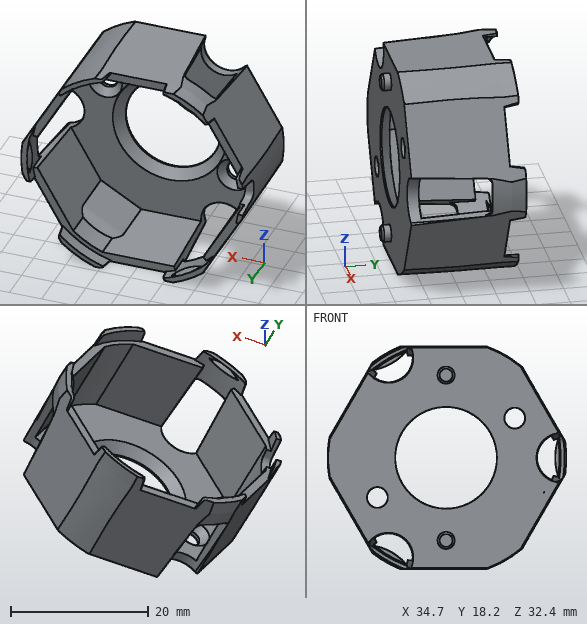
import cadquery as cq
import math

PLATE = 1.7
RIM = 14.65
TOP = 16.88
PIN_HEIGHT = 1.35

BASE_APOTHEM = 16.0
BEVEL_APOTHEM = 16.08
BEVEL_HEIGHT = 0.25
RIM_APOTHEM = 16.2
WALL = 1.32

CLOSED_BASE_RADIUS = 17.12
CLOSED_MID_RADIUS = 17.23
CLOSED_RIM_RADIUS = 17.2
CLOSED_TOP_RADIUS = 17.23
WINDOW_LOW_RADIUS = 17.23
WINDOW_RIM_RADIUS = 17.5
WINDOW_TOP_RADIUS = 17.35
WINDOW_CORNERS = (0, 120, 240)
CLOSED_CORNERS = (60, 180, 300)
CORNER_ANGLE = 60

CAVITY_APOTHEM = RIM_APOTHEM - WALL
CAVITY_RADIUS = 15.87
PAD_CORNER = 300
PAD_RADIUS = 15.07
PAD_STRAIGHT = 8.9
PAD_CURVE = 2.85
PAD_HALF_WIDTH = 3.82
PAD_BACK = 16.32

WINDOW_CENTRE = 16.75
WINDOW_BASE_RADIUS = 3.58
WINDOW_ENTRY = 0.05
WINDOW_HEAD_RADIUS = 2.95
WINDOW_HEAD = 11.9
WINDOW_FILLET = 1.0
FLARE_LOW_START = 15.87
FLARE_LOW_HALF_WIDTH = 3.45
FLARE_HIGH_START = 16.88
FLARE_HIGH_HALF_WIDTH = 3.02
FLARE_TOP = 10.42
FLARE_LENGTH = 1.75
RECESS_LOW_RADIUS = 16.75
RECESS_TOP_RADIUS = 16.45

TAB_HALF_WIDTH = 4.27
TAB_TAPER = 10
TAB_FILLET = 0.35
NOTCH_CORNER = 180
NOTCH_BOTTOM = 12.65
NOTCH_RIM_HALF_WIDTH = 1.88
NOTCH_FILLET = 1.05
HOOK_HEIGHT = 16.3
HOOK_TIP = 15.85
HOOK_CURVE = 8.35

CLEARANCE = 0.35

BORE_DIAMETER = 14.75
BORE_STRAIGHT = 0.25
HOLE_DIAMETER = 3.0
HOLE_STRAIGHT = 0.6
HOLE_DISTANCE = 11.53
HOLE_ANGLE = 30
PIN_DIAMETER = 2.5
PIN_DISTANCE = 12.0
PIN_CHAMFER = 0.3


def turned(shape, angle):
    """Turn a shape about the housing axis, from +X towards +Z."""
    return shape.rotate((0, 0, 0), (0, 1, 0), -angle)


def revolved(profile, angle=360):
    return profile.revolve(angle, (0, 0, 0), (0, 1, 0))


def plane_at(height):
    """Plane across the axis, with local x = X and local y = Z."""
    return cq.Workplane("XZ", origin=(0, height, 0))


def across_points(apothem):
    return 2 * apothem / math.cos(math.radians(CORNER_ANGLE / 2))


def hexagon(height, apothem):
    return plane_at(height).polygon(6, across_points(apothem))


def hexagon_taper(low, low_apothem, high, high_apothem):
    return (
        hexagon(low, low_apothem)
        .workplane(offset=low - high)
        .polygon(6, across_points(high_apothem))
        .loft(ruled=True)
    )


def cone(low, low_radius, high, high_radius, centre=0):
    """Cone frustum along Y around an axis at X = centre."""
    frustum = revolved(
        cq.Workplane("XY").polyline([(0, low), (low_radius, low), (high_radius, high), (0, high)]).close()
    )
    return frustum.translate((centre, 0, 0))


def across_corner(profile, start, end):
    """Extrude a profile drawn on a (Z, Y) plane from X = start to X = end."""
    return profile.extrude(end - start).translate((start, 0, 0))


def side_plane():
    """Plane along the axis and across X, with local x = -Z and local y = Y."""
    return cq.Workplane(cq.Plane(origin=(0, 0, 0), xDir=(0, 0, -1), normal=(1, 0, 0)))


def outer_body():
    sides = (
        hexagon_taper(0, BASE_APOTHEM, BEVEL_HEIGHT, BEVEL_APOTHEM)
        .union(hexagon_taper(BEVEL_HEIGHT, BEVEL_APOTHEM, RIM, RIM_APOTHEM))
        .union(hexagon(RIM, RIM_APOTHEM).extrude(RIM - TOP))
    )
    closed_sector = revolved(
        cq.Workplane("XY")
        .lineTo(CLOSED_BASE_RADIUS, 0)
        .threePointArc((CLOSED_MID_RADIUS, RIM / 2), (CLOSED_RIM_RADIUS, RIM))
        .lineTo(CLOSED_TOP_RADIUS, TOP)
        .lineTo(0, TOP)
        .close(),
        CORNER_ANGLE,
    )
    window_sector = revolved(
        cq.Workplane("XY")
        .lineTo(WINDOW_LOW_RADIUS, 0)
        .lineTo(WINDOW_LOW_RADIUS, WINDOW_HEAD)
        .lineTo(WINDOW_RIM_RADIUS, RIM)
        .lineTo(WINDOW_TOP_RADIUS, TOP)
        .lineTo(0, TOP)
        .close(),
        CORNER_ANGLE,
    )
    rounding = turned(window_sector, CORNER_ANGLE / 2)
    for corner in WINDOW_CORNERS[1:]:
        rounding = rounding.union(turned(window_sector, corner + CORNER_ANGLE / 2))
    for corner in CLOSED_CORNERS:
        rounding = rounding.union(turned(closed_sector, corner + CORNER_ANGLE / 2))
    return sides.intersect(rounding)


def cavity():
    lower = hexagon(PLATE, CAVITY_APOTHEM).extrude(PLATE - TOP)
    lower = lower.intersect(cone(PLATE, CAVITY_RADIUS, TOP, CAVITY_RADIUS))
    return lower.cut(turned(pad(), PAD_CORNER))


def pad():
    """Thick flat-faced block inside one closed corner, curving back at its upper end."""
    set_back = PAD_BACK - PAD_RADIUS
    end_height = PAD_STRAIGHT + math.sqrt(PAD_CURVE**2 - (PAD_CURVE - set_back) ** 2)
    profile = (
        cq.Workplane("XY")
        .moveTo(PAD_BACK, 0)
        .lineTo(PAD_RADIUS, 0)
        .lineTo(PAD_RADIUS, PAD_STRAIGHT)
        .radiusArc((PAD_BACK, end_height), PAD_CURVE)
        .close()
    )
    return profile.extrude(PAD_HALF_WIDTH, both=True)


def tab_recess():
    """Space inside the tabs, reaching down past the rounded window heads."""
    return cone(WINDOW_HEAD - WINDOW_FILLET, RECESS_LOW_RADIUS, TOP, RECESS_TOP_RADIUS)


def recess_above_rim():
    return tab_recess().intersect(cone(RIM, RECESS_LOW_RADIUS, TOP, RECESS_LOW_RADIUS))


def window_cutter():
    """Upright rounded opening with a filleted head, continued inside the tab up to the top."""
    opening = cone(BEVEL_HEIGHT, WINDOW_BASE_RADIUS, WINDOW_HEAD, WINDOW_HEAD_RADIUS, WINDOW_CENTRE)
    opening = opening.faces(">Y").edges().fillet(WINDOW_FILLET)
    slope = (WINDOW_BASE_RADIUS - WINDOW_HEAD_RADIUS) / (WINDOW_HEAD - BEVEL_HEIGHT)
    top_radius = WINDOW_BASE_RADIUS - slope * (TOP - BEVEL_HEIGHT)
    shaft = cone(BEVEL_HEIGHT, WINDOW_BASE_RADIUS, TOP, top_radius, WINDOW_CENTRE)
    inner_shaft = shaft.intersect(tab_recess())
    entry_radius = WINDOW_BASE_RADIUS + WINDOW_ENTRY
    entry = cone(0, entry_radius, BEVEL_HEIGHT, WINDOW_BASE_RADIUS, WINDOW_CENTRE)
    return opening.union(entry).union(inner_shaft).union(window_flare())


def flare_outline(sketch, start, half_width):
    """Outline across the axis whose two slanted edges stand square to the hexagon sides."""
    spread = FLARE_LENGTH * math.tan(math.radians(CORNER_ANGLE / 2))
    end = start + FLARE_LENGTH
    wide = half_width + spread
    return sketch.polyline([(start, -half_width), (end, -wide), (end, wide), (start, half_width)]).close()


def window_flare():
    """Widening of a window's outer edge, dying out towards its upper end."""
    low = flare_outline(plane_at(0), FLARE_LOW_START, FLARE_LOW_HALF_WIDTH)
    high = low.workplane(offset=-FLARE_TOP)
    return flare_outline(high, FLARE_HIGH_START, FLARE_HIGH_HALF_WIDTH).loft(ruled=True)


def tab_envelope():
    """Tapered outline with rounded upper corners that a tab is trimmed to."""
    top_half = TAB_HALF_WIDTH - (TOP - RIM) * math.tan(math.radians(TAB_TAPER))
    profile = side_plane().polyline(
        [(-TAB_HALF_WIDTH, RIM), (TAB_HALF_WIDTH, RIM), (top_half, TOP), (-top_half, TOP)]
    ).close()
    block = across_corner(profile, CAVITY_APOTHEM, WINDOW_RIM_RADIUS + CLEARANCE)
    return block.faces(">Y").edges("|X").fillet(TAB_FILLET)


def space_between_tabs():
    ring = cone(RIM, 2 * RIM_APOTHEM, TOP, 2 * RIM_APOTHEM)
    for corner in WINDOW_CORNERS + CLOSED_CORNERS:
        ring = ring.cut(turned(tab_envelope(), corner))
    return ring


def notch():
    """U-shaped notch, wider towards the top, through one closed corner."""
    spread = math.tan(math.radians(TAB_TAPER))
    top_half = NOTCH_RIM_HALF_WIDTH + (TOP - RIM) * spread
    bottom_half = NOTCH_RIM_HALF_WIDTH - (RIM - NOTCH_BOTTOM) * spread
    profile = side_plane().polyline(
        [(-bottom_half, NOTCH_BOTTOM), (bottom_half, NOTCH_BOTTOM), (top_half, TOP), (-top_half, TOP)]
    ).close()
    block = across_corner(profile, CAVITY_APOTHEM, CLOSED_MID_RADIUS + CLEARANCE)
    block = block.faces("<Y").edges("|X").fillet(NOTCH_FILLET)
    return turned(block, NOTCH_CORNER)


def hook():
    """Lens-shaped snap ridge on a tab, flat below and sloping at 45 degrees above."""
    rise = TOP - HOOK_HEIGHT
    ridge = cone(HOOK_HEIGHT, HOOK_CURVE, TOP, HOOK_CURVE - rise, HOOK_TIP + HOOK_CURVE)
    return ridge.intersect(cone(RIM, RECESS_LOW_RADIUS, TOP, RECESS_LOW_RADIUS))


def plate_hole(diameter, straight, x=0, z=0):
    """Through hole that widens at 45 degrees towards the inside of the plate."""
    radius = diameter / 2
    bottom = cone(0, radius, straight, radius)
    countersink = cone(straight, radius, PLATE, radius + PLATE - straight)
    return bottom.union(countersink).translate((x, 0, z))


def pin(z):
    body = plane_at(PLATE / 2).center(0, z).circle(PIN_DIAMETER / 2).extrude(PLATE / 2 + PIN_HEIGHT)
    return body.faces("<Y").chamfer(PIN_CHAMFER)


result = outer_body().cut(space_between_tabs()).cut(cavity())
result = result.cut(recess_above_rim())
for corner in WINDOW_CORNERS:
    result = result.cut(turned(window_cutter(), corner))
    result = result.union(turned(hook(), corner))
result = result.cut(notch())

result = result.cut(plate_hole(BORE_DIAMETER, BORE_STRAIGHT))
for side in (1, -1):
    hole_x = side * HOLE_DISTANCE * math.cos(math.radians(HOLE_ANGLE))
    hole_z = side * HOLE_DISTANCE * math.sin(math.radians(HOLE_ANGLE))
    result = result.cut(plate_hole(HOLE_DIAMETER, HOLE_STRAIGHT, hole_x, hole_z))
    result = result.union(pin(side * PIN_DISTANCE))